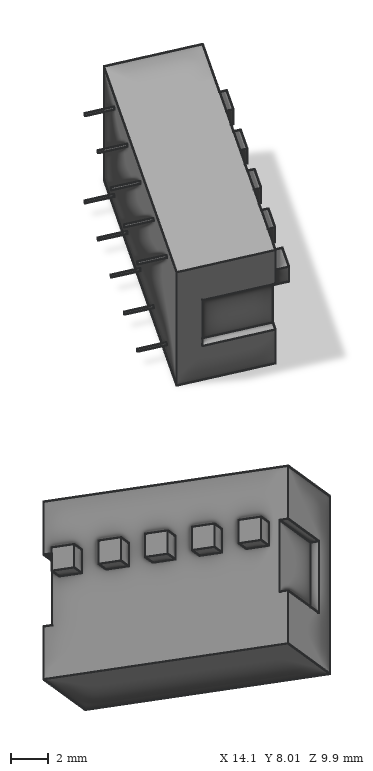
import cadquery as cq

body_width = 14.12
body_depth = 5.41
body_height = 9.9

recess_size = 4.0
recess_depth = 0.5

lever_count = 5
lever_size = 1.3
lever_length = 1.0
lever_pitch = 2.7
first_lever_edge = 1.1
lever_center_z = 1.3

pins_per_row = 5
pin_diameter = 0.15
pin_length = 1.6
pin_pitch = 2.54
pin_row_spacing = 7.62

front_y = -body_depth / 2
back_y = body_depth / 2


def make_housing():
    """Box with a shallow recess in both ends."""
    housing = cq.Workplane("XY").box(body_width, body_depth, body_height)
    for side in (-1, 1):
        cutter = cq.Workplane("XY").box(2 * recess_depth, recess_size, recess_size)
        center_y = back_y - recess_size / 2
        housing = housing.cut(cutter.translate((side * body_width / 2, center_y, 0)))
    return housing


def make_levers():
    """Row of square levers standing on the +Y face."""
    first_x = -body_width / 2 + first_lever_edge + lever_size / 2
    centers = [(first_x + i * lever_pitch, 0, lever_center_z) for i in range(lever_count)]
    lever = cq.Workplane("XY").box(lever_size, lever_length, lever_size)
    lever = lever.translate((0, back_y + lever_length / 2, 0)).val()
    return cq.Workplane("XY").pushPoints(centers).eachpoint(lambda place: lever.moved(place))


def make_pins():
    """Two rows of round pins standing on the -Y face."""
    return (
        cq.Workplane("XZ", origin=(0, front_y, 0))
        .rarray(pin_pitch, pin_row_spacing, pins_per_row, 2)
        .circle(pin_diameter / 2)
        .extrude(pin_length)
    )


result = make_housing().union(make_levers()).union(make_pins())